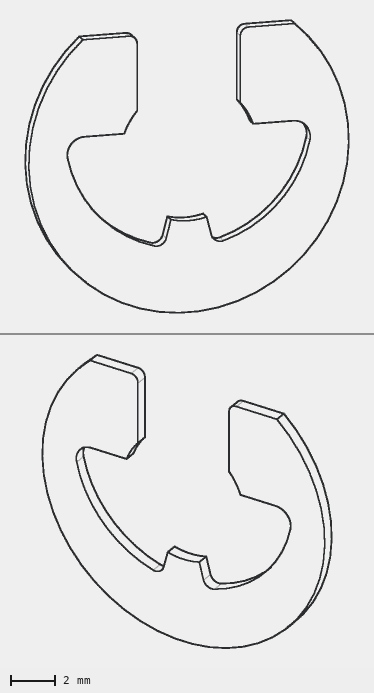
import cadquery as cq
import math

thickness = 0.6
outer_radius = 7.48
top_height = 5.6
mouth_width = 4.81
mouth_corner_radius = 0.37
seat_radius = 3.2
shoulder_height = 1.08
relief_radius = 5.77
relief_center_height = 1.29
relief_corner_radius = 0.79
tab_half_width = 0.84
tab_side_angle = 14.5
tab_root_radius = 0.45



def disc(radius, center_height=0.0):
    """Full-thickness disc centred on the symmetry plane."""
    return cq.Workplane("YZ").center(0, center_height).circle(radius).extrude(thickness / 2, both=True)


def block(width, bottom, top):
    """Full-thickness rectangle centred on the symmetry plane."""
    height = top - bottom
    return cq.Workplane("YZ").center(0, bottom + height / 2).rect(width, height).extrude(thickness / 2, both=True)


def make_tab():
    """Tapered bottom tab; its top is later trimmed by the seat disc."""
    corner_height = -math.sqrt(seat_radius**2 - tab_half_width**2)
    foot_half_width = tab_half_width + (outer_radius + corner_height) * math.tan(math.radians(tab_side_angle))
    return (
        cq.Workplane("YZ")
        .moveTo(-tab_half_width, corner_height)
        .lineTo(tab_half_width, corner_height)
        .lineTo(foot_half_width, -outer_radius)
        .lineTo(-foot_half_width, -outer_radius)
        .close()
        .extrude(thickness / 2, both=True)
    )


def make_relief():
    """Hollow under the arms: a disc cut flat at the shoulders and notched by the tab."""
    lower_half = block(2 * outer_radius, -outer_radius, shoulder_height)
    relief = disc(relief_radius, relief_center_height).intersect(lower_half).cut(make_tab())
    shoulder_corners = relief.edges("|X").edges(">Z")
    relief = shoulder_corners.fillet(relief_corner_radius)
    tab_roots = relief.edges("|X").edges("<Z")
    return tab_roots.fillet(tab_root_radius)


body = disc(outer_radius).intersect(block(2 * outer_radius, -outer_radius, top_height))
mouth = block(mouth_width, 0, top_height)
body = body.cut(mouth).cut(disc(seat_radius)).cut(make_relief())

half_mouth = mouth_width / 2
corner_reach = mouth_corner_radius / 2
mouth_corners = cq.selectors.BoxSelector(
    (-thickness, -half_mouth - corner_reach, top_height - corner_reach),
    (thickness, half_mouth + corner_reach, top_height + corner_reach),
)
body = body.edges("|X").edges(mouth_corners).fillet(mouth_corner_radius)

result = body